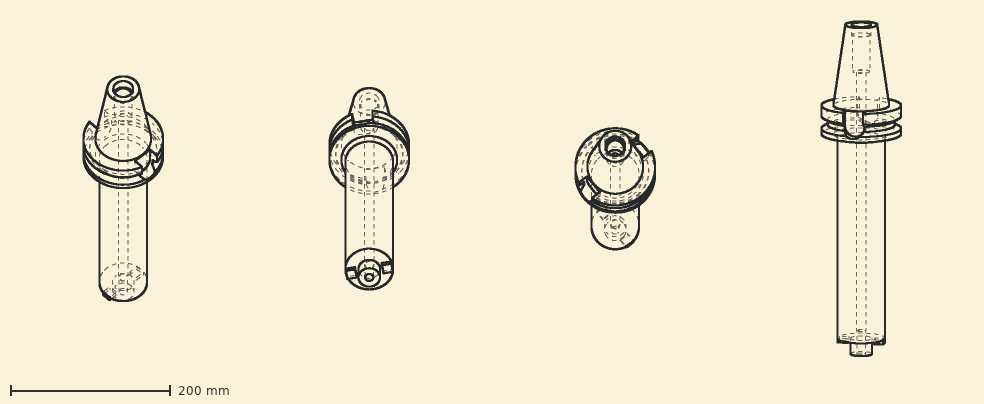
import cadquery as cq
import math

gauge_radius = 69.85 / 2
taper_length = 101.8
taper_ratio = 7 / 24
taper_tip_radius = gauge_radius - taper_length * taper_ratio / 2

flange_radius = 50.0
flange_top = -1.5
flange_bottom = -38.0
groove_radius = 42.0
groove_centre = -23.1
groove_width = 15.8
groove_flank_angle = 30.0
groove_flank_height = (flange_radius - groove_radius) * math.tan(math.radians(groove_flank_angle))
groove_top = groove_centre + groove_width / 2
groove_bottom = groove_centre - groove_width / 2

body_radius = 30.0
body_end = -300.0
neck_cone_height = 5.0
neck_cone_radius = body_radius + neck_cone_height

spigot_radius = 27.0 / 2
spigot_length = 20.0
spigot_end = body_end - spigot_length
key_width = 12.0
key_height = 5.5
key_inner = 17.0
key_outer = 29.0

slot_width = 25.7
slot_floor = 35.4
slot_depth = 32.5

draw_bar_radius = 25.0 / 2
draw_bar_thread_radius = 21.6 / 2
draw_bar_mouth_depth = 13.0
draw_bar_depth = 60.0
coolant_radius = 12.0 / 2
screw_hole_radius = 10.2 / 2
screw_hole_depth = 30.0
screw_hole_top = spigot_end + screw_hole_depth


def turned_body():
    """Everything that is round about the axis, revolved from one half profile."""
    return (
        cq.Workplane("YZ")
        .moveTo(0, taper_length)
        .lineTo(taper_tip_radius, taper_length)
        .lineTo(gauge_radius, 0)
        .lineTo(gauge_radius, flange_top)
        .lineTo(flange_radius, flange_top)
        .lineTo(flange_radius, groove_top)
        .lineTo(groove_radius, groove_top - groove_flank_height)
        .lineTo(groove_radius, groove_bottom + groove_flank_height)
        .lineTo(flange_radius, groove_bottom)
        .lineTo(flange_radius, flange_bottom)
        .lineTo(neck_cone_radius, flange_bottom)
        .lineTo(body_radius, flange_bottom - neck_cone_height)
        .lineTo(body_radius, body_end)
        .lineTo(spigot_radius, body_end)
        .lineTo(spigot_radius, spigot_end)
        .lineTo(0, spigot_end)
        .close()
        .revolve(360, (0, 0, 0), (0, 1, 0))
    )


def drive_slot(side):
    """Round-bottomed slot cutter on the +X (side = 1) or -X (side = -1) of the flange."""
    half_width = slot_width / 2
    slot_bottom = flange_top - slot_depth
    return (
        cq.Workplane("YZ", origin=(side * slot_floor, 0, 0))
        .moveTo(-half_width, flange_top)
        .lineTo(-half_width, slot_bottom + half_width)
        .threePointArc((0, slot_bottom), (half_width, slot_bottom + half_width))
        .lineTo(half_width, flange_top)
        .close()
        .extrude(side * flange_radius)
    )


def drive_key(side):
    """Rectangular key under the body end face, on the +Y or -Y side."""
    key_centre = side * (key_inner + key_outer) / 2
    return (
        cq.Workplane("XY", origin=(0, key_centre, body_end))
        .rect(key_width, key_outer - key_inner)
        .extrude(-key_height)
    )


def bore(radius, top, depth):
    """Cylindrical cutter on the axis, running down from the given height."""
    return cq.Workplane("XY", origin=(0, 0, top)).circle(radius).extrude(-depth)


result = turned_body()
for side in (1, -1):
    result = result.cut(drive_slot(side)).union(drive_key(side))
result = result.cut(bore(draw_bar_radius, taper_length, draw_bar_mouth_depth))
result = result.cut(bore(draw_bar_thread_radius, taper_length, draw_bar_depth))
result = result.cut(bore(coolant_radius, taper_length, taper_length - screw_hole_top))
result = result.cut(bore(screw_hole_radius, screw_hole_top, screw_hole_depth))